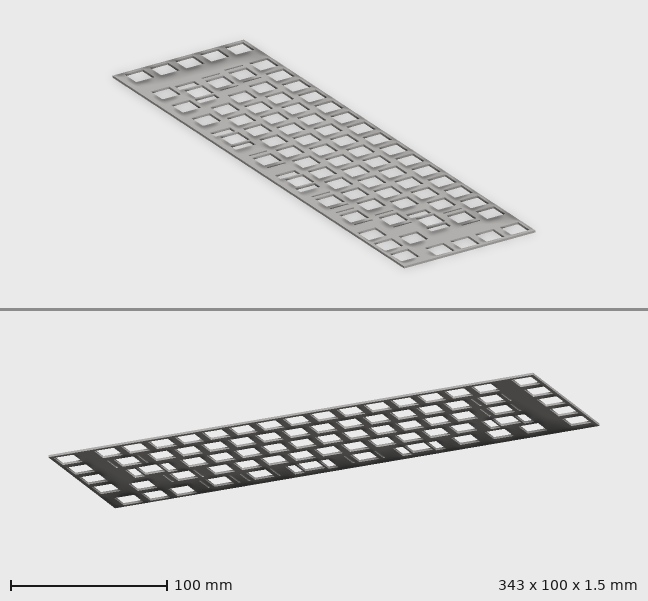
import cadquery as cq

plate_length = 343.0
plate_thickness = 1.5
cells_along_x = 18
cells_along_y = 5.25
key_pitch = plate_length / cells_along_x
plate_width = cells_along_y * key_pitch

switch_border = 2.55
switch_size = key_pitch - 2 * switch_border
corner_radius = 0.5

slot_width = 1.5
slot_gap = 3.02
slot_offset = switch_size / 2 + slot_gap + slot_width / 2

stabilizer_width = 7.0
stabilizer_height = 15.0
stabilizer_gap = 1.45
stabilizer_offset = switch_size / 2 + stabilizer_gap + stabilizer_width / 2
stabilizer_drop = 1.5

slot_min_key = 1.5
stabilizer_min_key = 2.0

block_start = 1.5
main_rows = [
    [1] * 15,
    [1.5] + [1] * 12 + [1.5],
    [1.75] + [1] * 11 + [2.25],
    [2.25] + [1] * 10 + [1.75],
    [1.25] * 3 + [2.25, 1.75, 2.25] + [1.5] * 2,
]

single_key = 1
half_cell = single_key / 2
left_column_rows = 5
right_column_rows = 4
arrow_left = 15.25
arrow_up_row = 3.75
bottom_arrows = 3


def grid_point(column, row):
    """Position of a point given in cells from the left and top edges."""
    return (
        column * key_pitch - plate_length / 2,
        plate_width / 2 - row * key_pitch,
    )


def key_centres():
    """List (column, row, key width) for every key, in grid cells."""
    keys = []
    for row, widths in enumerate(main_rows):
        left = block_start
        for width in widths:
            keys.append((left + width / 2, row + half_cell, width))
            left += width
    for row in range(left_column_rows):
        keys.append((half_cell, row + half_cell, single_key))
    for row in range(right_column_rows):
        keys.append((cells_along_x - half_cell, row + half_cell, single_key))
    keys.append((arrow_left + single_key, arrow_up_row, single_key))
    for step in range(bottom_arrows):
        keys.append((arrow_left + step * single_key, arrow_up_row + single_key, single_key))
    return keys


def openings(points, width, height):
    """Rounded rectangular cutters through the plate, centred on the points."""
    return (
        cq.Workplane("XY")
        .pushPoints(points)
        .rect(width, height)
        .extrude(plate_thickness)
        .edges("|Z")
        .fillet(corner_radius)
    )


def side_points(centres, offset, drop=0):
    """Points to the left and right of each centre, lowered by the drop."""
    return [(x + side * offset, y - drop) for x, y in centres for side in (-1, 1)]


switches = []
slotted_keys = []
stabilized_keys = []
for column, row, width in key_centres():
    centre = grid_point(column, row)
    switches.append(centre)
    if width >= stabilizer_min_key:
        stabilized_keys.append(centre)
    elif width >= slot_min_key:
        slotted_keys.append(centre)

slots = side_points(slotted_keys, slot_offset)
stabilizers = side_points(stabilized_keys, stabilizer_offset, stabilizer_drop)

plate = cq.Workplane("XY").box(
    plate_length, plate_width, plate_thickness, centered=(True, True, False)
)
result = (
    plate.cut(openings(switches, switch_size, switch_size))
    .cut(openings(slots, slot_width, switch_size))
    .cut(openings(stabilizers, stabilizer_width, stabilizer_height))
)